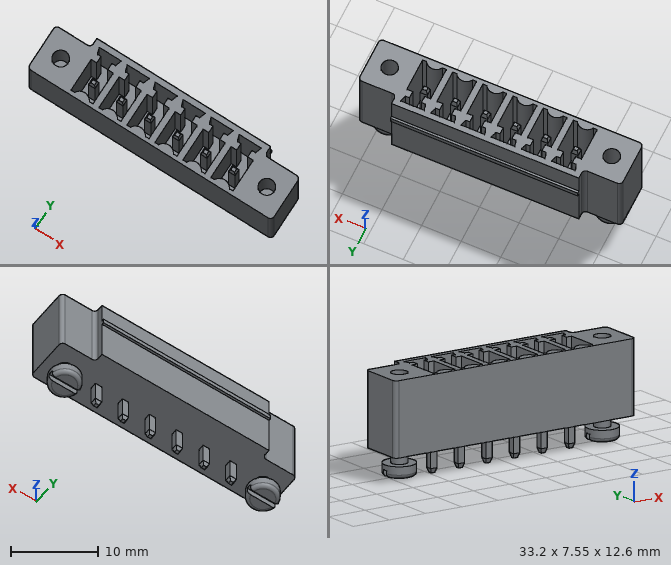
import cadquery as cq


housing_length = 33.25
housing_height = 9.2
flange_depth = 6.0
centre_length = 23.65
centre_depth = 7.25
corner_radius = 0.5
front_y = -flange_depth / 2
flange_back_y = flange_depth / 2
centre_back_y = front_y + centre_depth

rib_projection = 0.3
rib_height = 0.65
rib_base_z = 5.65

pin_count = 6
pitch = 3.81
pin_xs = [(i - (pin_count - 1) / 2) * pitch for i in range(pin_count)]

floor_z = 1.0
pocket_width = 3.0
front_wall = 0.5
pocket_front_y = front_y + front_wall
chamber_length = 4.3
pocket_shoulder_y = pocket_front_y + chamber_length
neck_length = 0.9
dovetail_front_y = pocket_shoulder_y + neck_length
dovetail_length = 0.8
dovetail_back_y = dovetail_front_y + dovetail_length
neck_width = 1.5
dovetail_front_width = 2.5
keying_chord = 2.0
keying_rise = 0.6

pin_width = 0.9
pin_depth = 0.85
pin_top_z = 7.7
pin_bottom_z = -3.4
tip_length = 0.6
tip_inset = 0.2

screw_to_end_pin = 4.5
screw_x = pin_xs[-1] + screw_to_end_pin
shank_diameter = 2.0
shank_exposed = 1.5
head_diameter = 4.0
head_height = 1.5
head_edge_radius = 0.5
slot_width = 0.6
slot_depth = 0.85
screw_hole_depth = 5.0


def make_housing():
    flange_band = cq.Workplane("XY").box(
        housing_length, flange_depth, housing_height, centered=(True, True, False)
    )
    centre_block = (
        cq.Workplane("XY")
        .center(0, front_y + centre_depth / 2)
        .box(centre_length, centre_depth, housing_height, centered=(True, True, False))
    )
    housing = flange_band.union(centre_block)
    flange_edges = cq.selectors.BoxSelector(
        (-housing_length, front_y - corner_radius, -corner_radius),
        (housing_length, flange_back_y + corner_radius, housing_height + corner_radius),
    )
    housing = housing.edges("|Z").edges(flange_edges).fillet(corner_radius)
    rib = (
        cq.Workplane("XY", origin=(0, centre_back_y, rib_base_z))
        .box(centre_length, 2 * rib_projection, rib_height, centered=(True, True, False))
    )
    return housing.union(rib)


def make_pocket(x):
    """Chamber with a rounded keying rib at the front and a dovetail slot at the back."""
    side = pocket_width / 2
    neck = neck_width / 2
    dovetail = dovetail_front_width / 2
    chord = keying_chord / 2
    return (
        cq.Workplane("XY", origin=(x, 0, floor_z))
        .moveTo(-side, pocket_front_y)
        .lineTo(-chord, pocket_front_y)
        .threePointArc((0, pocket_front_y + keying_rise), (chord, pocket_front_y))
        .lineTo(side, pocket_front_y)
        .lineTo(side, pocket_shoulder_y)
        .lineTo(neck, pocket_shoulder_y)
        .lineTo(neck, dovetail_front_y)
        .lineTo(dovetail, dovetail_front_y)
        .lineTo(side, dovetail_back_y)
        .lineTo(-side, dovetail_back_y)
        .lineTo(-dovetail, dovetail_front_y)
        .lineTo(-neck, dovetail_front_y)
        .lineTo(-neck, pocket_shoulder_y)
        .lineTo(-side, pocket_shoulder_y)
        .close()
        .extrude(housing_height - floor_z)
    )


def make_pin_tip(x, base_z, end_z):
    """Taper from the full pin section at base_z to the small end at end_z."""
    return (
        cq.Workplane("XY", origin=(x, 0, base_z))
        .rect(pin_width, pin_depth)
        .workplane(offset=end_z - base_z)
        .rect(pin_width - 2 * tip_inset, pin_depth - 2 * tip_inset)
        .loft(ruled=True)
    )


def make_pin(x):
    shaft_bottom_z = pin_bottom_z + tip_length
    shaft_top_z = pin_top_z - tip_length
    shaft = (
        cq.Workplane("XY", origin=(x, 0, shaft_bottom_z))
        .rect(pin_width, pin_depth)
        .extrude(shaft_top_z - shaft_bottom_z)
    )
    upper_tip = make_pin_tip(x, shaft_top_z, pin_top_z)
    lower_tip = make_pin_tip(x, shaft_bottom_z, pin_bottom_z)
    return shaft.union(upper_tip).union(lower_tip)


def make_screw(x):
    """Exposed shank and slotted head below the flange."""
    head_bottom_z = -shank_exposed - head_height
    head = (
        cq.Workplane("XY", origin=(x, 0, head_bottom_z))
        .circle(head_diameter / 2)
        .extrude(head_height)
        .faces("<Z").edges().fillet(head_edge_radius)
    )
    slot = (
        cq.Workplane("XY", origin=(x, 0, head_bottom_z))
        .rect(head_diameter, slot_width)
        .extrude(slot_depth)
    )
    shank = (
        cq.Workplane("XY", origin=(x, 0, -shank_exposed))
        .circle(shank_diameter / 2)
        .extrude(shank_exposed)
    )
    return head.cut(slot).union(shank)


def make_screw_hole(x):
    return (
        cq.Workplane("XY", origin=(x, 0, housing_height - screw_hole_depth))
        .circle(shank_diameter / 2)
        .extrude(screw_hole_depth)
    )


result = make_housing()
for pin_x in pin_xs:
    result = result.cut(make_pocket(pin_x))
    result = result.union(make_pin(pin_x))
for side_x in (-screw_x, screw_x):
    result = result.cut(make_screw_hole(side_x))
    result = result.union(make_screw(side_x))